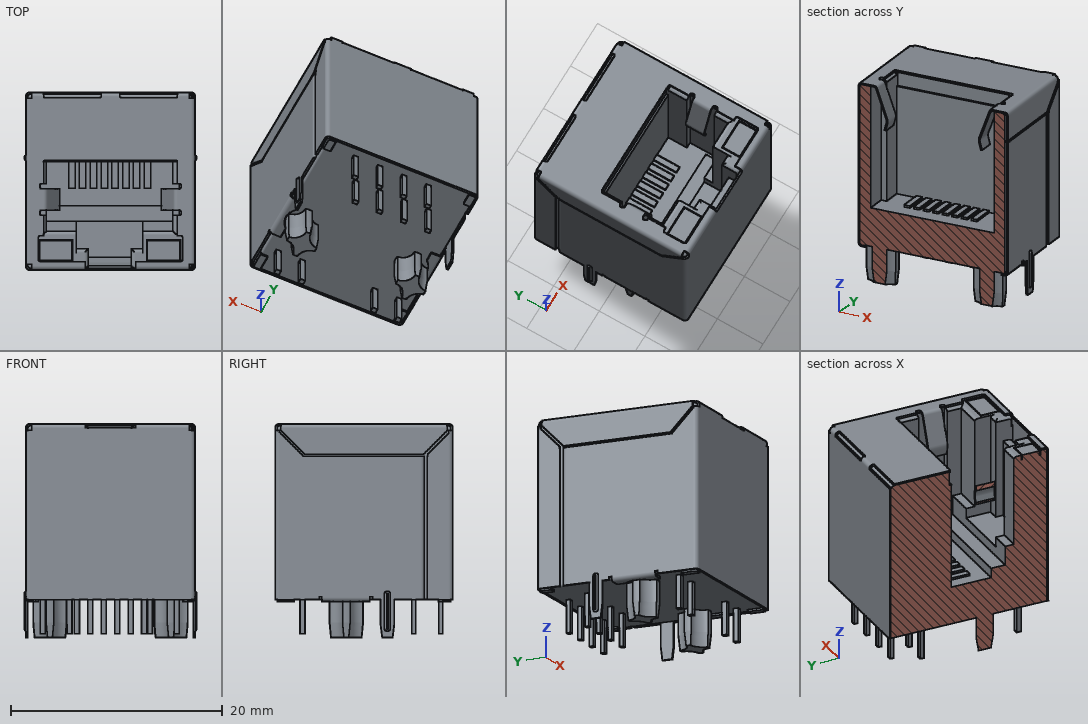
import cadquery as cq
import math

WIDTH = 16.0
LENGTH = 16.8
HEIGHT = 16.6
SHEET = 0.2
BEND = 0.4
TAIL = 3.6
PIN_REACH = 3.25

HALF_X = WIDTH / 2
HALF_Y = LENGTH / 2
INNER_X = HALF_X - SHEET
INNER_Y = HALF_Y - SHEET
INNER_TOP = HEIGHT - SHEET
BEND_LINE_Z = HEIGHT - BEND
CUT = 1.0
ROOT = 0.2
PICK_MARGIN = 0.05
SIDES = (-1, 1)

CLEARANCE = 0.15
HOUSING_HALF_X = INNER_X - CLEARANCE / 2
HOUSING_X = -CLEARANCE / 2
HOUSING_EDGE = 0.2
FOOT_DEPTH = 0.2
FOOT_X = 0.75
REAR_FOOT_Y = 1.2
FRONT_FOOT_Y = 1.6

SOCKET_HALF_X = 5.97
SOCKET_REAR = 1.83
SOCKET_FRONT = -4.72
LIP_REAR = 2.05
LIP_LEDGE_Z = 15.0
LEAD_IN_RADIUS = 0.4
LEAD_IN_TRIM = 0.05
MOUTH_DEPTH = 1.0
REAR_FLOOR_Z = 4.0
MIDDLE_FLOOR_Z = 5.0
FRONT_FLOOR_Z = 7.0
LATCH_FLOOR_Z = 6.0
REAR_FLOOR_END = -2.31
MIDDLE_FLOOR_END = -3.8
LATCH_HALF_X = 3.14
LATCH_FRONT = -6.39
KEYWAY_HALF_X = 2.03
SILL_REAR = -7.16
SILL_CREST = -7.66
SILL_Z = 14.0
SILL_FRONT = -8.0
SILL_DROP = 0.05
SILL_STEP = 0.5

CONTACTS = 8
CONTACT_PITCH = 1.02
CONTACT_WIDTH = 0.62
CONTACT_HEIGHT = 0.2
CONTACT_FRONT = -0.68

LIGHT_X = 5.09
LIGHT_Y = -6.53
LIGHT_SIZE_X = 3.05
LIGHT_SIZE_Y = 1.85
LIGHT_GROOVE = 0.07
LIGHT_GROOVE_DEPTH = 0.5

OPENING_HALF_X = 6.32
OPENING_REAR = 1.97
OPENING_FRONT = -5.14
LIGHT_OPENING_HALF_X = 6.8
LIGHT_OPENING_FRONT = -7.58
OPENING_ROUND = 0.15
LATCH_OPENING_HALF_X = 2.38
REAR_WINDOW_NEAR_X = 0.88
REAR_WINDOW_FAR_X = 6.32
REAR_WINDOW_DEPTH = 0.5
REAR_WINDOW_ROUND = 0.1
CORNER_RELIEF = 0.55
CORNER_RELIEF_Z = 0.63

FINGER_REAR = -0.72
FINGER_FRONT = -2.73
FINGER_LEAN = math.radians(20.5)
FINGER_SLOPE = 3.1
FINGER_KNEE = 0.8
FINGER_TAIL_LEAN = math.radians(15)
FINGER_TAIL = 0.8
FINGER_SLIT = 0.5
FINGER_SLIT_ROUND = 0.2
FINGER_SLIT_X = 6.67
FINGER_BAY_HALF_X = 6.56

SEAM_FRONT = 5.35
SEAM_REAR = 5.98
SEAM_LOW_Z = 13.55
SEAM_HIGH_Z = 13.71
MITRE_FRONT_Y = -5.59
MITRE_FRONT_LOW_Y = -5.73
MITRE_REAR_Y = 5.61
MITRE_REAR_LOW_Y = 6.0

FOLD_REAR = 0.56
FOLD_FRONT = -3.97
FOLD_INNER_X = 6.8
FOLD_NOTCH = 0.27

TAB_Y = 2.21
TAB_WIDTH = 1.33
TAB_TIP_WIDTH = 1.0
TAB_TAPER_Z = -2.3
RIB_WIDTH = 0.57
RIB_HEIGHT = 0.15
RIB_TOP = 0.8
RIB_BOTTOM = -3.0
RIB_TAPER = 55

POST_X = 5.715
POST_Y = -1.67
POST_RADIUS = 1.6
POST_LOBE = 0.36
POST_TAPER_Z = -2.17
POST_TAPER = 5.6
POST_CLEARANCE = 0.05
PIN_PITCH = 1.27
PIN_COUNT = 8
PIN_WIDTH = 0.5
PIN_DEPTH = 0.4
PIN_ROWS = (4.7, 7.24)
LIGHT_PIN_X = (3.8, 6.33)
LIGHT_PIN_Y = -5.8


def block(x0, x1, y0, y1, z0, z1):
    """Box given by its limits."""
    return cq.Workplane("XY").box(x1 - x0, y1 - y0, z1 - z0, centered=False).translate((x0, y0, z0))


def mirrored(side, shape):
    """Right-hand shape as it is, or mirrored to the left."""
    return shape if side > 0 else shape.mirror("YZ")


def shield_shell():
    outer = block(-HALF_X, HALF_X, -HALF_Y, HALF_Y, 0, HEIGHT).edges("|Z or >Z").fillet(BEND)
    inner = block(-INNER_X, INNER_X, -INNER_Y, INNER_Y, -CUT, INNER_TOP)
    return outer.cut(inner.edges("|Z or >Z").fillet(BEND - SHEET))


def top_opening():
    """Cutter for the socket, the lights and the latch, through the front bend."""
    z0 = INNER_TOP - SHEET
    socket = block(-OPENING_HALF_X, OPENING_HALF_X, OPENING_FRONT - CUT, OPENING_REAR, z0, HEIGHT + CUT)
    lights = block(
        -LIGHT_OPENING_HALF_X, LIGHT_OPENING_HALF_X, LIGHT_OPENING_FRONT, OPENING_FRONT, z0, HEIGHT + CUT
    )
    latch = block(
        -LATCH_OPENING_HALF_X, LATCH_OPENING_HALF_X, -HALF_Y - CUT, OPENING_FRONT, BEND_LINE_Z, HEIGHT + CUT
    )
    rounded = [shape.edges("|Z").fillet(OPENING_ROUND) for shape in (socket, lights)]
    cutter = rounded[0].union(rounded[1]).union(latch)
    for y in (FINGER_REAR + FINGER_SLIT / 2, FINGER_FRONT - FINGER_SLIT / 2):
        slit = block(
            -FINGER_SLIT_X, FINGER_SLIT_X, y - FINGER_SLIT / 2, y + FINGER_SLIT / 2, z0, HEIGHT + CUT
        )
        cutter = cutter.union(slit.edges("|Z").fillet(FINGER_SLIT_ROUND))
    return cutter


def rear_window():
    """Cutter that removes the right half of the rear top bend."""
    window = block(
        REAR_WINDOW_NEAR_X, REAR_WINDOW_FAR_X,
        HALF_Y - REAR_WINDOW_DEPTH, HALF_Y + CUT,
        BEND_LINE_Z, HEIGHT + CUT,
    )
    return window.edges("|Z and <Y").fillet(REAR_WINDOW_ROUND)


def corner_relief(side_y):
    """Cutter for a right-hand top corner."""
    x = HALF_X - CORNER_RELIEF / 2
    y = side_y * (HALF_Y - CORNER_RELIEF / 2)
    z = HEIGHT - CORNER_RELIEF_Z / 2
    return cq.Workplane("XY").box(CORNER_RELIEF, CORNER_RELIEF, CORNER_RELIEF_Z).translate((x, y, z))


def wall_seams():
    """Cutter for the mitred seam and the upright seam of the right wall."""
    limit = HALF_Y - BEND
    front_rise = limit + MITRE_FRONT_Y
    front_low_rise = limit + MITRE_FRONT_LOW_Y
    rear_rise = limit - MITRE_REAR_Y
    rear_low_rise = limit - MITRE_REAR_LOW_Y
    mitre = (
        cq.Workplane("YZ", origin=(INNER_X, 0, 0))
        .polyline(
            [
                (-limit, SEAM_HIGH_Z + front_rise),
                (MITRE_FRONT_Y, SEAM_HIGH_Z),
                (MITRE_REAR_Y, SEAM_HIGH_Z),
                (limit, SEAM_HIGH_Z + rear_rise),
                (limit, SEAM_HIGH_Z + rear_low_rise),
                (MITRE_REAR_LOW_Y, SEAM_HIGH_Z),
                (MITRE_REAR_LOW_Y, SEAM_LOW_Z),
                (MITRE_FRONT_LOW_Y, SEAM_LOW_Z),
                (-limit, SEAM_LOW_Z + front_low_rise),
            ]
        )
        .close()
        .extrude(CUT)
    )
    curl_end = math.acos(1 - SHEET / BEND)

    def on_curl(angle):
        return (HALF_X - BEND * (1 - math.cos(angle)), SEAM_FRONT + BEND * math.sin(angle))

    upright = (
        cq.Workplane("XY", origin=(0, 0, -CUT))
        .moveTo(*on_curl(curl_end))
        .threePointArc(on_curl(curl_end / 2), on_curl(0))
        .lineTo(HALF_X + CUT, SEAM_FRONT)
        .lineTo(HALF_X + CUT, SEAM_REAR)
        .lineTo(INNER_X, SEAM_REAR)
        .close()
        .extrude(SEAM_LOW_Z + CUT)
    )
    return mitre.union(upright)


def spring_finger():
    """Right-hand finger: bent down from the top, sloping inward, its tip turned back out."""
    bend_x = OPENING_HALF_X
    bend_z = HEIGHT - BEND
    knee_reach = BEND - FINGER_KNEE
    knee_x = bend_x - knee_reach * math.cos(FINGER_LEAN) - FINGER_SLOPE * math.sin(FINGER_LEAN)
    knee_z = bend_z + knee_reach * math.sin(FINGER_LEAN) - FINGER_SLOPE * math.cos(FINGER_LEAN)
    tail_dx = FINGER_TAIL * math.sin(FINGER_TAIL_LEAN)
    tail_dz = -FINGER_TAIL * math.cos(FINGER_TAIL_LEAN)

    def on_bend(radius, angle):
        return (bend_x - radius * math.cos(angle), bend_z + radius * math.sin(angle))

    def on_knee(radius, angle):
        return (knee_x - radius * math.cos(angle), knee_z + radius * math.sin(angle))

    bend_middle = (FINGER_LEAN + math.pi / 2) / 2
    knee_middle = (FINGER_LEAN - FINGER_TAIL_LEAN) / 2
    outer_tail = on_knee(FINGER_KNEE, -FINGER_TAIL_LEAN)
    inner_tail = on_knee(FINGER_KNEE - SHEET, -FINGER_TAIL_LEAN)
    return (
        cq.Workplane("XZ", origin=(0, FINGER_REAR, 0))
        .moveTo(FINGER_SLIT_X, HEIGHT)
        .lineTo(bend_x, HEIGHT)
        .threePointArc(on_bend(BEND, bend_middle), on_bend(BEND, FINGER_LEAN))
        .lineTo(*on_knee(FINGER_KNEE, FINGER_LEAN))
        .threePointArc(on_knee(FINGER_KNEE, knee_middle), outer_tail)
        .lineTo(outer_tail[0] + tail_dx, outer_tail[1] + tail_dz)
        .lineTo(inner_tail[0] + tail_dx, inner_tail[1] + tail_dz)
        .lineTo(*inner_tail)
        .threePointArc(on_knee(FINGER_KNEE - SHEET, knee_middle), on_knee(FINGER_KNEE - SHEET, FINGER_LEAN))
        .lineTo(*on_bend(BEND - SHEET, FINGER_LEAN))
        .threePointArc(on_bend(BEND - SHEET, bend_middle), (bend_x, INNER_TOP))
        .lineTo(FINGER_SLIT_X, INNER_TOP)
        .close()
        .extrude(FINGER_REAR - FINGER_FRONT)
    )


def fold_notches():
    """Cutter that frees the lower fold of the right wall."""
    zone = block(
        INNER_X - SHEET, HALF_X + CUT, FOLD_FRONT - FOLD_NOTCH, FOLD_REAR + FOLD_NOTCH, -CUT, FOLD_NOTCH
    )
    kept = block(INNER_X - SHEET, HALF_X + CUT, FOLD_FRONT, FOLD_REAR, BEND - SHEET, FOLD_NOTCH)
    return zone.cut(kept)


def lower_fold():
    """Right-hand fold under the housing, cleared around the post."""
    bend_x = HALF_X - BEND
    bend_z = BEND - SHEET
    outer_offset = BEND * math.sqrt(0.5)
    inner_offset = (BEND - SHEET) * math.sqrt(0.5)
    fold = (
        cq.Workplane("XZ", origin=(0, FOLD_REAR, 0))
        .moveTo(HALF_X, bend_z)
        .threePointArc((bend_x + outer_offset, bend_z - outer_offset), (bend_x, -SHEET))
        .lineTo(FOLD_INNER_X, -SHEET)
        .lineTo(FOLD_INNER_X, 0)
        .lineTo(bend_x, 0)
        .threePointArc((bend_x + inner_offset, bend_z - inner_offset), (INNER_X, bend_z))
        .close()
        .extrude(FOLD_REAR - FOLD_FRONT)
    )
    post_room = (
        cq.Workplane("XY", origin=(POST_X, POST_Y, -CUT))
        .circle(POST_RADIUS + POST_CLEARANCE)
        .extrude(2 * CUT)
    )
    return fold.cut(post_room)


def ground_tab():
    """Right-hand solder tab with its raised stiffening rib."""
    half = TAB_WIDTH / 2
    tip = TAB_TIP_WIDTH / 2
    blade = (
        cq.Workplane("YZ", origin=(INNER_X, TAB_Y, 0))
        .polyline(
            [
                (-half, ROOT),
                (half, ROOT),
                (half, TAB_TAPER_Z),
                (tip, -TAIL),
                (-tip, -TAIL),
                (-half, TAB_TAPER_Z),
            ]
        )
        .close()
        .extrude(SHEET)
    )
    rib = (
        cq.Workplane("YZ", origin=(HALF_X, TAB_Y, (RIB_TOP + RIB_BOTTOM) / 2))
        .slot2D(RIB_TOP - RIB_BOTTOM, RIB_WIDTH, angle=90)
        .extrude(RIB_HEIGHT, taper=RIB_TAPER)
    )
    return blade.union(rib)


def make_shield():
    shield = shield_shell().cut(top_opening())
    for side in SIDES:
        shield = shield.cut(mirrored(side, rear_window()))
        shield = shield.cut(mirrored(side, wall_seams()))
        shield = shield.cut(mirrored(side, fold_notches()))
        for side_y in SIDES:
            shield = shield.cut(mirrored(side, corner_relief(side_y)))
        shield = shield.union(mirrored(side, spring_finger()))
        shield = shield.union(mirrored(side, lower_fold()))
        shield = shield.union(mirrored(side, ground_tab()))
    return shield


def housing_block():
    body = block(-HOUSING_HALF_X, HOUSING_HALF_X, -INNER_Y, INNER_Y, 0, INNER_TOP)
    return body.edges("|Z or |Y or >Z").fillet(HOUSING_EDGE)


def cut_mouth(body, pocket, half_x, y0, y1):
    """Cuts a shallow pocket and rounds its top edges whose middles lie in the given area."""
    area = cq.selectors.BoxSelector(
        (-half_x - PICK_MARGIN, y0 - PICK_MARGIN, INNER_TOP - PICK_MARGIN),
        (half_x + PICK_MARGIN, y1 + PICK_MARGIN, INNER_TOP + PICK_MARGIN),
    )
    return body.cut(pocket).edges(area).fillet(LEAD_IN_RADIUS)


def cut_mouths(body):
    """Rounded lead-ins of the socket and of the latch channel, a little tighter than the walls."""
    z0 = INNER_TOP - MOUTH_DEPTH
    top = INNER_TOP + CUT
    x = SOCKET_HALF_X - LEAD_IN_TRIM
    front = SOCKET_FRONT + LEAD_IN_TRIM
    socket = block(-x, x, front, SOCKET_REAR, z0, top)
    body = cut_mouth(body, socket, x, front, (front + SOCKET_REAR) / 2)

    shoulder = LATCH_FRONT + LEAD_IN_TRIM
    key_x = KEYWAY_HALF_X - LEAD_IN_TRIM
    latch = block(-LATCH_HALF_X, LATCH_HALF_X, shoulder, MIDDLE_FLOOR_END, z0, top)
    keyway = block(-key_x, key_x, -INNER_Y, shoulder, z0, top)
    shoulder_middle = (key_x + LATCH_HALF_X) / 2
    return cut_mouth(body, latch.union(keyway), shoulder_middle, -INNER_Y, shoulder)


def cut_socket(body):
    """Socket with stepped floors, and the latch channel in front of it."""
    top = INNER_TOP + CUT
    x = SOCKET_HALF_X
    body = body.cut(block(-x, x, REAR_FLOOR_END, SOCKET_REAR, REAR_FLOOR_Z, top))
    body = body.cut(block(-x, x, MIDDLE_FLOOR_END, REAR_FLOOR_END, MIDDLE_FLOOR_Z, top))
    body = body.cut(block(-x, x, SOCKET_FRONT, MIDDLE_FLOOR_END, FRONT_FLOOR_Z, top))
    body = body.cut(block(-x, x, SOCKET_REAR, LIP_REAR, LIP_LEDGE_Z, top))
    latch = block(-LATCH_HALF_X, LATCH_HALF_X, LATCH_FRONT, MIDDLE_FLOOR_END, LATCH_FLOOR_Z, top)
    keyway = block(-KEYWAY_HALF_X, KEYWAY_HALF_X, SILL_REAR, LATCH_FRONT, LATCH_FLOOR_Z, top)
    over_sill = (
        cq.Workplane("YZ", origin=(-KEYWAY_HALF_X, 0, 0))
        .polyline(
            [
                (SILL_REAR, top),
                (SILL_REAR, SILL_Z),
                (SILL_CREST, SILL_Z),
                (SILL_FRONT, SILL_Z - SILL_DROP),
                (SILL_FRONT, SILL_Z - SILL_STEP),
                (-INNER_Y, SILL_Z - SILL_STEP),
                (-INNER_Y, top),
            ]
        )
        .close()
        .extrude(2 * KEYWAY_HALF_X)
    )
    return body.cut(latch).cut(keyway).cut(over_sill)


def finger_bay():
    """Cutter for the right-hand bay in the socket wall, around the spring finger."""
    return block(
        SOCKET_HALF_X, FINGER_BAY_HALF_X,
        FINGER_FRONT - FINGER_SLIT, FINGER_REAR + FINGER_SLIT,
        REAR_FLOOR_Z, INNER_TOP + CUT,
    )


def contact_strips():
    first = -(CONTACTS - 1) / 2 * CONTACT_PITCH
    strips = cq.Workplane("XY")
    for index in range(CONTACTS):
        x = first + index * CONTACT_PITCH
        strips = strips.union(
            block(
                x - CONTACT_WIDTH / 2, x + CONTACT_WIDTH / 2, CONTACT_FRONT, SOCKET_REAR,
                REAR_FLOOR_Z, REAR_FLOOR_Z + CONTACT_HEIGHT,
            )
        )
    return strips


def light_groove(side):
    """Cutter for the groove that outlines an indicator light."""
    plane = cq.Workplane("XY", origin=(side * LIGHT_X, LIGHT_Y, INNER_TOP - LIGHT_GROOVE_DEPTH))
    return (
        plane.rect(LIGHT_SIZE_X + 2 * LIGHT_GROOVE, LIGHT_SIZE_Y + 2 * LIGHT_GROOVE)
        .rect(LIGHT_SIZE_X, LIGHT_SIZE_Y)
        .extrude(LIGHT_GROOVE_DEPTH + CUT)
    )


def feet():
    """Right-hand front and rear foot, each following the rounded corner of the housing."""
    inner = HOUSING_HALF_X - FOOT_X
    rear = block(inner, HOUSING_HALF_X, INNER_Y - REAR_FOOT_Y, INNER_Y, -FOOT_DEPTH, ROOT)
    front = block(inner, HOUSING_HALF_X, -INNER_Y, -INNER_Y + FRONT_FOOT_Y, -FOOT_DEPTH, ROOT)
    rear = rear.edges(">X and >Y").fillet(HOUSING_EDGE)
    front = front.edges(">X and <Y").fillet(HOUSING_EDGE)
    return rear.union(front)


def solder_pin(x, y, size_y):
    return block(x - PIN_WIDTH / 2, x + PIN_WIDTH / 2, y - size_y / 2, y + size_y / 2, -PIN_REACH, ROOT)


def post_section(plane):
    """Round section with a hollow between each two of its four lobes."""
    tip = math.sqrt(POST_RADIUS ** 2 - POST_LOBE ** 2)
    hollow_mid = tip - (tip - POST_LOBE) * math.sqrt(0.5)
    section = plane.moveTo(tip, -POST_LOBE)
    for quarter in range(4):
        cosine = round(math.cos(quarter * math.pi / 2))
        sine = round(math.sin(quarter * math.pi / 2))

        def turned(x, y):
            return (x * cosine - y * sine, x * sine + y * cosine)

        section = section.threePointArc(turned(POST_RADIUS, 0), turned(tip, POST_LOBE))
        section = section.threePointArc(turned(hollow_mid, hollow_mid), turned(POST_LOBE, tip))
    return section.close()


def board_post(x):
    plane = cq.Workplane("XY", origin=(x, POST_Y, POST_TAPER_Z))
    straight = post_section(plane).extrude(ROOT - POST_TAPER_Z)
    tapered = post_section(plane).extrude(-(TAIL + POST_TAPER_Z), taper=POST_TAPER)
    return straight.union(tapered)


def make_housing():
    body = cut_socket(cut_mouths(housing_block())).union(contact_strips())
    for side in SIDES:
        body = body.cut(mirrored(side, finger_bay()))
        body = body.cut(light_groove(side)).union(mirrored(side, feet()))
        for x in LIGHT_PIN_X:
            body = body.union(solder_pin(side * x, LIGHT_PIN_Y, PIN_WIDTH))
    body = body.translate((HOUSING_X, 0, 0))

    for side in SIDES:
        body = body.union(board_post(side * POST_X))
    first = -(PIN_COUNT - 1) / 2 * PIN_PITCH
    for index in range(PIN_COUNT):
        row_y = PIN_ROWS[index % len(PIN_ROWS)]
        body = body.union(solder_pin(first + index * PIN_PITCH, row_y, PIN_DEPTH))
    return body


shield = make_shield()
housing = make_housing()
result = cq.Compound.makeCompound([*shield.solids().vals(), *housing.solids().vals()])